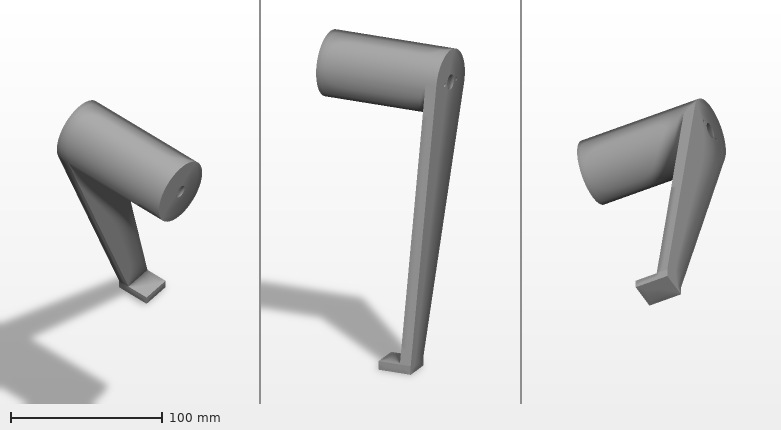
import cadquery as cq
import math

total_height = 208.0
total_depth = 84.5
grip_diameter = 45.0
grip_length = 87.5
plate_thickness = 8.0
foot_length = 23.5
foot_width = 19.8
foot_height = 6.0
bore_diameter = 8.5
counterbore_diameter = 10.5
pin_hole_diameter = 2.7
pin_hole_offset = 9.0
pin_hole_tilt = 5.0

grip_radius = grip_diameter / 2
grip_z = total_height - grip_radius
foot_back = total_depth - grip_radius
foot_front = foot_back - foot_width


def cylinder(diameter, length, y=0.0, z=grip_z):
    """Cylinder along +X, starting on the outer plate face at X = 0."""
    return cq.Workplane("YZ").center(y, z).circle(diameter / 2).extrude(length)


def tangent_point(y, z, side):
    """Where a line from (y, z) touches the grip circle; side is +1 for +Y, -1 for -Y."""
    distance = math.hypot(y, z - grip_z)
    to_corner = math.atan2(z - grip_z, y)
    angle = to_corner + side * math.acos(grip_radius / distance)
    return grip_radius * math.cos(angle), grip_z + grip_radius * math.sin(angle)


def arm():
    """Tapered plate whose edges run tangent to its rounded top."""
    return (
        cq.Workplane("YZ")
        .moveTo(foot_front, 0)
        .lineTo(foot_back, 0)
        .lineTo(foot_back, foot_height)
        .lineTo(*tangent_point(foot_back, foot_height, 1))
        .threePointArc((0, total_height), tangent_point(foot_front, foot_height, -1))
        .lineTo(foot_front, foot_height)
        .close()
        .extrude(plate_thickness)
    )


def foot():
    return (
        cq.Workplane("XY")
        .box(foot_length, foot_width, foot_height, centered=False)
        .translate((0, foot_front, 0))
    )


result = arm().union(cylinder(grip_diameter, grip_length)).union(foot())

result = result.cut(cylinder(bore_diameter, grip_length))
result = result.cut(cylinder(counterbore_diameter, plate_thickness))

tilt = math.radians(pin_hole_tilt)
for side in (1, -1):
    hole_y = side * pin_hole_offset * math.cos(tilt)
    hole_z = grip_z + side * pin_hole_offset * math.sin(tilt)
    result = result.cut(cylinder(pin_hole_diameter, plate_thickness, hole_y, hole_z))